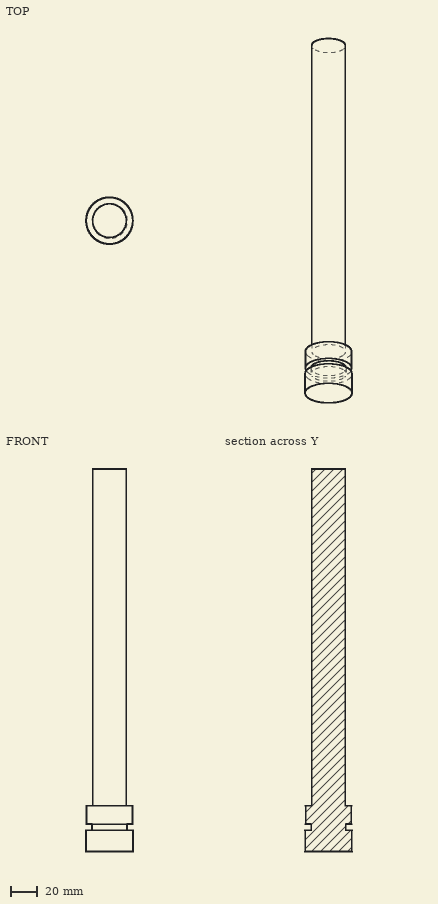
import cadquery as cq

total_length = 284.0
rod_diameter = 25.0
neck_diameter = 26.0
upper_collar_diameter = 34.5
foot_diameter = 35.0
foot_height = 16.0
groove_width = 4.5
upper_collar_height = 13.5

groove_top = foot_height + groove_width
collar_top = groove_top + upper_collar_height


def cylinder(diameter, bottom, top):
    """Solid cylinder on the Z axis between two heights."""
    return cq.Workplane("XY").workplane(offset=bottom).circle(diameter / 2).extrude(top - bottom)


foot = cylinder(foot_diameter, 0, foot_height)
neck = cylinder(neck_diameter, foot_height, groove_top)
upper_collar = cylinder(upper_collar_diameter, groove_top, collar_top)
rod = cylinder(rod_diameter, collar_top, total_length)

result = foot.union(neck).union(upper_collar).union(rod)